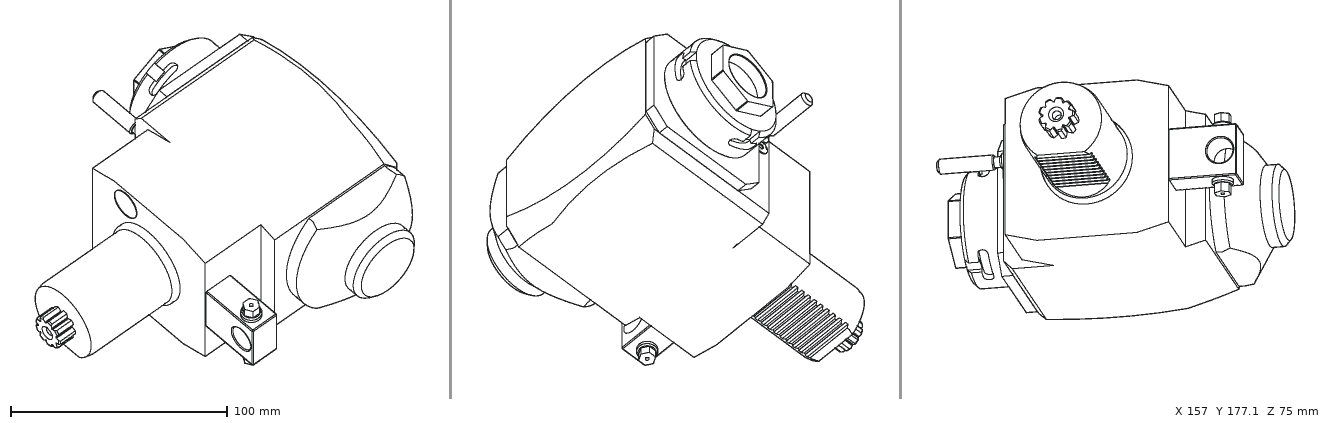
import cadquery as cq
import math


half_height = 37.5
housing_left, housing_right = -47.6, 48.3
housing_front, housing_back = 34.7, 113.6
housing_left_chamfer = 4.2
back_corner_chamfer = 3.0
neck_half_width = 38.8
slope_start = 23.7
slope_angle = 15
slope = math.tan(math.radians(slope_angle))
back_bevel = 4.2
bevel_radius = 129.2
bevel_axis_x = -9.7
plug_x, plug_z = -16.1, 27.5
plug_radius = 7.6
plug_recess = 0.4

spindle_y = 79.6
plate_face = -53.0
plate_back = 113.3
plate_half = 33.5
plate_chamfer = 8.5
nut_face, nut_end = -72.7, -53.6
nut_radius, nut_chamfer = 27.6, 2.1
nut_neck_radius = 26.5
nut_notch_width, nut_notch_depth = 6.0, 2.1
nut_slot_length, nut_slot_width, nut_slot_depth = 18.2, 5.0, 3.5
nut_slot_x = -63.2
nut_slot_count = 3
hex_face = -80.5
hex_flats, hex_corner_diameter = 31.9, 36.5
hex_bore_radius, hex_bore_depth, hex_bore_chamfer = 11.9, 6.0, 0.4

pin_y, pin_z = 40.2, 17.5
pin_tip, pin_end = -80.0, -53.0
pin_radius, pin_tip_chamfer, pin_end_chamfer = 3.5, 1.2, 0.5
pin_neck_radius, pin_neck_end = 2.5, -50.1
pin_foot_radius, pin_foot_rim = 4.0, 1.2
seat_z, seat_radius, seat_height = 10.3, 4.0, 0.5
seat_hole_radius = 1.5

cap_radius, cap_cylinder_end = 37.7, 55.2
cap_boss_radius, cap_cone_end = 19.1, 68.1
cap_end = 76.5
cap_end_chamfer = 2.7
cap_back = 109.5
cap_half_height = 29.4
cap_slope_start = 51.3

shank_radius, shank_length = 20.0, 53.5
shank_tip_radius, shank_tip_length = 19.3, 3.2
collar_radius, collar_length, collar_round = 21.6, 3.7, 1.5
flat_distance = 15.8
flat_start = 5.3
rack_first, rack_last, rack_count = 11.7, 47.6, 10
rack_pitch = (rack_last - rack_first) / (rack_count - 1)
rack_depth, rack_mouth, rack_floor = 1.0, 3.0, 1.6

spline_length = 10.0
spline_radius, spline_root_radius = 8.5, 6.4
spline_teeth = 9
tooth_tip, tooth_base = 2.1, 3.9
spline_chamfer = 0.7
center_hole_radius, center_sink_radius, center_hole_depth = 2.1, 3.5, 7.0

arm_end = 70.8
arm_front, arm_back = 0.5, 16.0
arm_half_height = 12.5
arm_chamfer = 0.5
arm_hole_x, arm_hole_radius, arm_hole_chamfer = 62.8, 6.2, 0.5
screw_y = 6.9
screw_collar_radius, screw_collar_height, screw_collar_chamfer = 5.0, 2.3, 0.7
screw_head_flats, screw_head_height = 7.0, 4.5
screw_hole_radius, screw_hole_depth = 0.9, 1.8


def prism_y(points, y_start, y_end):
    """Extrude an X-Z outline from y_start to y_end."""
    return cq.Workplane("XZ", origin=(0, y_start, 0)).polyline(points).close().extrude(y_start - y_end)


def turned_x(profile, y, z):
    """Turn (x, radius) points about an axis parallel to X."""
    return (
        cq.Workplane("XY").polyline(profile).close()
        .revolve(360, (0, 0), (1, 0)).translate((0, y, z))
    )


def turned_y(profile, x=0, z=0):
    """Turn (radius, y) points about an axis parallel to Y."""
    return (
        cq.Workplane("XY").polyline(profile).close()
        .revolve(360, (0, 0), (0, 1)).translate((x, 0, z))
    )


def cylinder_x(radius, x_start, x_end, y, z):
    return cq.Workplane("YZ", origin=(x_start, y, z)).circle(radius).extrude(x_end - x_start)


def cylinder_y(radius, y_start, y_end, x=0, z=0):
    return cq.Workplane("XZ", origin=(x, y_start, z)).circle(radius).extrude(y_start - y_end)


def sloped_height(x):
    """Half height on the side slopes at a distance x from the shank axis."""
    return half_height - slope * (x - slope_start)


def make_housing():
    left_inner = housing_left + housing_left_chamfer
    left_height = half_height - housing_left_chamfer
    right_height = sloped_height(housing_right)
    body = prism_y(
        [
            (housing_left, -left_height), (housing_left, left_height),
            (left_inner, half_height), (slope_start, half_height),
            (housing_right, right_height), (housing_right, -right_height),
            (slope_start, -half_height), (left_inner, -half_height),
        ],
        housing_front, housing_back,
    )
    body = body.edges("|Z and >X and >Y").chamfer(back_corner_chamfer)

    neck_height = sloped_height(neck_half_width)
    neck = prism_y(
        [
            (-neck_half_width, -neck_height), (-neck_half_width, neck_height),
            (-slope_start, half_height), (slope_start, half_height),
            (neck_half_width, neck_height), (neck_half_width, -neck_height),
            (slope_start, -half_height), (-slope_start, -half_height),
        ],
        0, housing_front,
    )
    body = body.union(neck)

    back_radius = bevel_radius - back_bevel
    for side in (1, -1):
        cone = turned_y(
            [(0, 0), (back_radius + housing_back, 0), (back_radius, housing_back), (0, housing_back)],
            bevel_axis_x, side * (half_height - bevel_radius),
        )
        body = body.intersect(cone)

    return body.cut(cylinder_y(plug_radius, 0, plug_recess, plug_x, plug_z))


def make_plate():
    front = 2 * spindle_y - plate_back
    return (
        cq.Workplane("XY")
        .box(housing_left - plate_face, plate_back - front, 2 * plate_half)
        .edges("|X").chamfer(plate_chamfer)
        .translate(((housing_left + plate_face) / 2, spindle_y, 0))
    )


def make_nut():
    nut = turned_x(
        [
            (nut_face, 0), (nut_face, nut_radius - nut_chamfer), (nut_face + nut_chamfer, nut_radius),
            (nut_end, nut_radius), (nut_end, nut_neck_radius), (plate_face, nut_neck_radius), (plate_face, 0),
        ],
        0, 0,
    )
    slot = (
        cq.Workplane("XY").center(nut_slot_x, 0)
        .slot2D(nut_slot_length, nut_slot_width, 90).extrude(2 * nut_radius)
    )
    notch_length = nut_slot_x - nut_face
    notch = (
        cq.Workplane("XY").center(nut_face + notch_length / 2, 0)
        .rect(notch_length, nut_notch_width).extrude(2 * nut_radius)
    )
    slot = slot.cut(cylinder_x(nut_radius - nut_slot_depth, nut_face, nut_end, 0, 0))
    notch = notch.cut(cylinder_x(nut_radius - nut_notch_depth, nut_face, nut_end, 0, 0))
    cutter = slot.union(notch)
    for index in range(nut_slot_count):
        nut = nut.cut(cutter.rotate((0, 0, 0), (1, 0, 0), -90 + index * 360 / nut_slot_count))

    hexagon = (
        cq.Workplane("YZ", origin=(hex_face, 0, 0))
        .polygon(6, hex_flats, circumscribed=True).extrude(nut_face - hex_face)
        .intersect(cylinder_x(hex_corner_diameter / 2, hex_face, nut_face, 0, 0))
    )
    bore_floor = hex_face + hex_bore_depth
    bore = turned_x(
        [
            (hex_face, 0), (hex_face, hex_bore_radius + hex_bore_chamfer),
            (hex_face + hex_bore_chamfer, hex_bore_radius), (bore_floor, hex_bore_radius), (bore_floor, 0),
        ],
        0, 0,
    )
    return nut.union(hexagon).cut(bore).translate((0, spindle_y, 0))


def make_pin():
    pin = turned_x(
        [
            (pin_tip, 0), (pin_tip, pin_radius - pin_tip_chamfer), (pin_tip + pin_tip_chamfer, pin_radius),
            (pin_end - pin_end_chamfer, pin_radius), (pin_end, pin_radius - pin_end_chamfer),
            (pin_end, pin_neck_radius), (pin_neck_end, pin_neck_radius),
            (housing_left - pin_foot_rim, pin_foot_radius), (housing_left, pin_foot_radius),
            (housing_left, 0),
        ],
        pin_y, pin_z,
    )
    seat_face = housing_left - seat_height
    seat = cylinder_x(seat_radius, seat_face, housing_left, pin_y, seat_z)
    seat = seat.cut(cylinder_x(seat_hole_radius, seat_face, housing_left, pin_y, seat_z))
    return pin.union(seat)


def make_cap():
    cap = turned_x(
        [
            (housing_right, 0), (housing_right, cap_radius), (cap_cylinder_end, cap_radius),
            (cap_cone_end, cap_boss_radius), (cap_end - cap_end_chamfer, cap_boss_radius),
            (cap_end, cap_boss_radius - cap_end_chamfer), (cap_end, 0),
        ],
        spindle_y, 0,
    )
    end_height = cap_half_height - slope * (cap_end - cap_slope_start)
    envelope = prism_y(
        [
            (housing_right, -cap_half_height), (housing_right, cap_half_height),
            (cap_slope_start, cap_half_height), (cap_end, end_height),
            (cap_end, -end_height), (cap_slope_start, -cap_half_height),
        ],
        0, cap_back,
    )
    return cap.intersect(envelope)


def make_shank():
    shank = turned_y([
        (0, 0), (shank_radius, 0), (shank_radius, -shank_length + shank_tip_length),
        (shank_tip_radius, -shank_length), (0, -shank_length),
    ])

    ramp = shank_radius - flat_distance
    flat = (
        cq.Workplane("YZ")
        .polyline([
            (-flat_start, -shank_radius), (-flat_start - ramp, -flat_distance),
            (-shank_length, -flat_distance), (-shank_length, -shank_radius),
        ])
        .close().extrude(shank_radius, both=True)
    )
    shank = shank.cut(flat)
    for index in range(rack_count):
        y = -rack_first - index * rack_pitch
        groove = (
            cq.Workplane("YZ")
            .polyline([
                (y - rack_mouth / 2, -flat_distance), (y - rack_floor / 2, -flat_distance + rack_depth),
                (y + rack_floor / 2, -flat_distance + rack_depth), (y + rack_mouth / 2, -flat_distance),
            ])
            .close().extrude(shank_radius, both=True)
        )
        shank = shank.cut(groove)

    collar = cylinder_y(collar_radius, 0, -collar_length).faces("<Y").edges().fillet(collar_round)
    return shank.union(collar)


def make_spline():
    tip = -shank_length - spline_length
    spline = cylinder_y(spline_root_radius, -shank_length, tip)
    for index in range(spline_teeth):
        tooth = prism_y(
            [
                (0, -tooth_base / 2), (spline_root_radius, -tooth_base / 2), (spline_radius, -tooth_tip / 2),
                (spline_radius, tooth_tip / 2), (spline_root_radius, tooth_base / 2), (0, tooth_base / 2),
            ],
            -shank_length, tip,
        )
        spline = spline.union(tooth.rotate((0, 0, 0), (0, 1, 0), index * 360 / spline_teeth))
    envelope = cylinder_y(spline_radius, -shank_length, tip).faces("<Y").edges().chamfer(spline_chamfer)
    sink_depth = center_sink_radius - center_hole_radius
    center_hole = turned_y([
        (0, tip), (center_sink_radius, tip), (center_hole_radius, tip + sink_depth),
        (center_hole_radius, tip + center_hole_depth), (0, tip + center_hole_depth),
    ])
    return spline.intersect(envelope).cut(center_hole)


def make_screw():
    """Screw standing on the upper side of the arm."""
    return (
        cq.Workplane("XY", origin=(arm_hole_x, screw_y, arm_half_height))
        .circle(screw_collar_radius).extrude(screw_collar_height)
        .faces(">Z").edges().chamfer(screw_collar_chamfer)
        .faces(">Z").workplane()
        .polygon(6, screw_head_flats, circumscribed=True).extrude(screw_head_height)
        .faces(">Z").workplane()
        .hole(2 * screw_hole_radius, screw_hole_depth)
    )


def make_arm():
    arm = (
        cq.Workplane("XY")
        .box(arm_end - neck_half_width, arm_back - arm_front, 2 * arm_half_height)
        .translate(((arm_end + neck_half_width) / 2, (arm_front + arm_back) / 2, 0))
        .faces(">X or <Z or >Z").edges("not <X").chamfer(arm_chamfer)
    )
    mouth_radius = arm_hole_radius + arm_hole_chamfer
    arm_hole = turned_y(
        [
            (0, arm_front), (mouth_radius, arm_front), (arm_hole_radius, arm_front + arm_hole_chamfer),
            (arm_hole_radius, arm_back), (0, arm_back),
        ],
        arm_hole_x,
    )
    arm = arm.cut(arm_hole)
    screw = make_screw()
    return arm.union(screw).union(screw.mirror("XY"))


result = make_housing()
for piece in (make_plate(), make_nut(), make_pin(), make_cap(), make_shank(), make_spline(), make_arm()):
    result = result.union(piece)